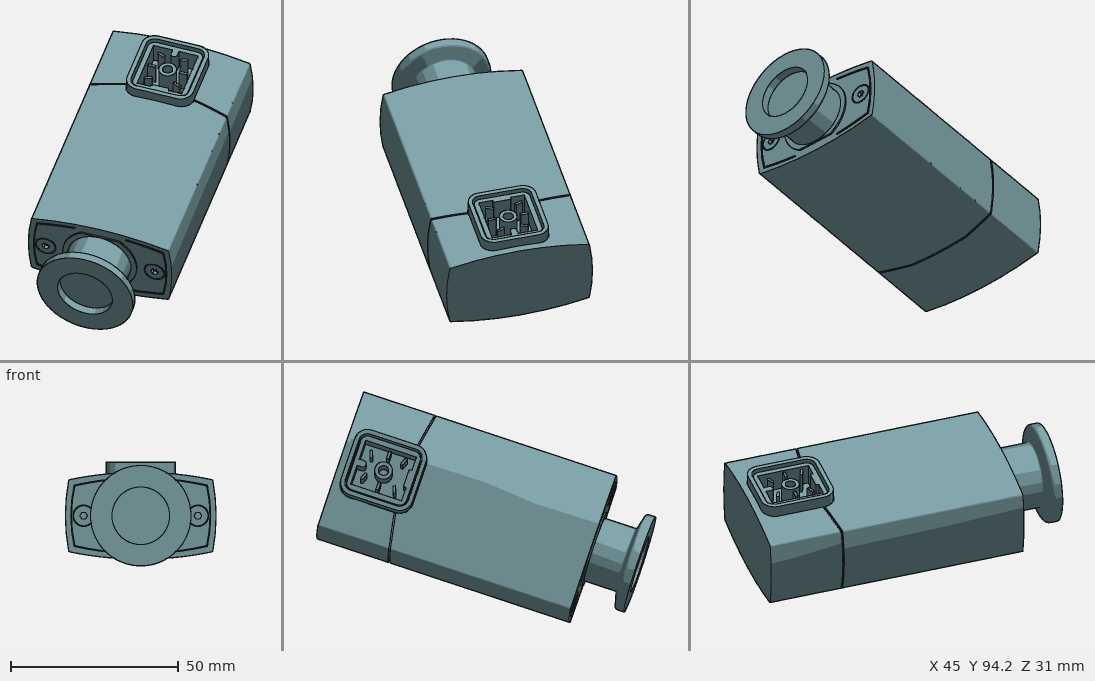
import cadquery as cq
import math

CUT_MARGIN = 1.0
SELECTION_MARGIN = 0.1

HOUSING_LENGTH = 79.5
HALF_WIDTH = 22.5
HALF_HEIGHT = 13.0
CORNER_X = 21.5
CORNER_Z = 10.75
CORNER_RADIUS = 0.7

SEAM_CENTRE_Y = HOUSING_LENGTH - 20.8
SEAM_FLAT_HALF_WIDTH = 10.0
SEAM_ANGLE = 10.0
SEAM_WIDTH = 0.5
SEAM_DEPTH = 0.5

PLATE_INSET = 1.6
PLATE_GROOVE_WIDTH = 0.25
PLATE_GROOVE_DEPTH = 0.3
PLATE_GROOVE_GAP_HALF_WIDTH = 8.0

SCREW_X = 17.05
SCREW_HEAD_DIAMETER = 6.0
SCREW_BORE_DIAMETER = 6.4
SCREW_BORE_DEPTH = 0.5
SOCKET_ACROSS_CORNERS = 2.3
SOCKET_DEPTH = 1.2

PORT_LENGTH = 14.71
COLLAR_DIAMETER = 23.2
COLLAR_HEIGHT = 20.0
COLLAR_THICKNESS = 0.5
TUBE_DIAMETER = 19.75
FLANGE_DIAMETER = 30.0
FLANGE_RIM_THICKNESS = 2.8
FLANGE_CONE_ANGLE = 15.0
FLANGE_EDGE_RADIUS = 1.0
NECK_RADIUS = 0.5
BORE_DIAMETER = 17.2
BORE_DEPTH = 2.6

CONNECTOR_Y = HOUSING_LENGTH - 13.5
CONNECTOR_TOP_Z = 16.0
CONNECTOR_WIDTH = 20.7
CONNECTOR_LENGTH = 22.4
CONNECTOR_CLEARANCE = 0.15
CLEARANCE_DEPTH = 1.5
CONNECTOR_CORNER_RADIUS = 4.0
RIM_WALL = 1.3
RIM_DEPTH = 1.0
LEDGE_Z = CONNECTOR_TOP_Z - RIM_DEPTH
INSERT_GAP_WIDTH = 0.5
INSERT_GAP_DEPTH = 3.0
CAVITY_WIDTH = 14.0
CAVITY_LENGTH = 16.0
CAVITY_DEPTH = 6.5
FLOOR_Z = LEDGE_Z - CAVITY_DEPTH

CONTACT_TOP_Z = 15.1
SLEEVE_DIAMETER = 5.3
SLEEVE_BORE_DIAMETER = 3.0
BLADE_LENGTH = 2.4
BLADE_THICKNESS = 0.8
BLADES = [
    (4.95, 0.0, 0.0, False),
    (3.55, 5.05, 22.5, True),
    (4.5, -4.95, -22.5, False),
]
KEY_WIDTH = 2.01
KEY_LENGTH = 2.5
RIB_BASE_WIDTH = 5.7
RIB_TOP_WIDTH = 5.1
RIB_HEIGHT = 0.85


def barrel_section(inset):
    """Housing outline in the XZ plane, moved inwards by `inset`."""
    side = HALF_WIDTH - inset
    top = HALF_HEIGHT - inset
    x = CORNER_X - inset
    z = CORNER_Z - inset
    return (
        cq.Workplane("XZ")
        .moveTo(-x, z)
        .threePointArc((0, top), (x, z))
        .threePointArc((side, 0), (x, -z))
        .threePointArc((0, -top), (-x, -z))
        .threePointArc((-side, 0), (-x, z))
        .close()
    )


def barrel(inset, start_y, end_y):
    """Solid with the housing section from `start_y` to `end_y`."""
    return barrel_section(inset).extrude(start_y - end_y).translate((0, start_y, 0))


def seam_groove():
    """Shallow groove along the chevron, following the outside of the housing."""
    reach = HALF_WIDTH + CUT_MARGIN
    reach_y = SEAM_CENTRE_Y - (reach - SEAM_FLAT_HALF_WIDTH) * math.tan(math.radians(SEAM_ANGLE))
    front = [
        (-reach, reach_y),
        (-SEAM_FLAT_HALF_WIDTH, SEAM_CENTRE_Y),
        (SEAM_FLAT_HALF_WIDTH, SEAM_CENTRE_Y),
        (reach, reach_y),
    ]
    back = [(x, y + SEAM_WIDTH) for x, y in reversed(front)]
    chevron = cq.Workplane("XY").polyline(front + back).close().extrude(HALF_HEIGHT + CUT_MARGIN, both=True)
    return chevron.cut(barrel(SEAM_DEPTH, 0, HOUSING_LENGTH))


def plate_groove():
    """Groove parallel to the housing outline, interrupted above and below the port."""
    groove = barrel(PLATE_INSET, 0, PLATE_GROOVE_DEPTH).cut(
        barrel(PLATE_INSET + PLATE_GROOVE_WIDTH, 0, PLATE_GROOVE_DEPTH)
    )
    gap = cq.Workplane("XY").box(2 * PLATE_GROOVE_GAP_HALF_WIDTH, 2 * PLATE_GROOVE_DEPTH, 2 * HALF_HEIGHT)
    return groove.cut(gap)


def front_sketch():
    """Workplane on the front face; negative extrusion runs into the housing."""
    return cq.Workplane("XZ")


def screw_recess(x):
    """Gap around one screw head, with the hexagon socket in the head."""
    gap = (
        front_sketch()
        .center(x, 0)
        .circle(SCREW_BORE_DIAMETER / 2)
        .circle(SCREW_HEAD_DIAMETER / 2)
        .extrude(-SCREW_BORE_DEPTH)
    )
    socket = front_sketch().center(x, 0).polygon(6, SOCKET_ACROSS_CORNERS).extrude(-SOCKET_DEPTH)
    return gap.union(socket)


def ring_at(y):
    """Selector for the circular edge of the port at height `y` along its axis."""
    near = (-FLANGE_DIAMETER, y - SELECTION_MARGIN, -FLANGE_DIAMETER)
    far = (FLANGE_DIAMETER, y + SELECTION_MARGIN, FLANGE_DIAMETER)
    return cq.selectors.BoxSelector(near, far)


def port():
    """Collar with flats, and the turned tube and flange with a blind bore."""
    collar = front_sketch().circle(COLLAR_DIAMETER / 2).extrude(COLLAR_THICKNESS)
    collar = collar.intersect(cq.Workplane("XY").box(COLLAR_DIAMETER, COLLAR_DIAMETER, COLLAR_HEIGHT))
    tube_radius = TUBE_DIAMETER / 2
    flange_radius = FLANGE_DIAMETER / 2
    rim_y = FLANGE_RIM_THICKNESS - PORT_LENGTH
    neck_y = rim_y + (flange_radius - tube_radius) * math.tan(math.radians(FLANGE_CONE_ANGLE))
    turned = (
        cq.Workplane("XY")
        .polyline(
            [
                (0, 0),
                (tube_radius, 0),
                (tube_radius, neck_y),
                (flange_radius, rim_y),
                (flange_radius, -PORT_LENGTH),
                (0, -PORT_LENGTH),
            ]
        )
        .close()
        .revolve(360, (0, 0, 0), (0, 1, 0))
    )
    turned = turned.edges(ring_at(rim_y)).fillet(FLANGE_EDGE_RADIUS)
    turned = turned.edges(ring_at(neck_y)).fillet(NECK_RADIUS)
    port_face = front_sketch().workplane(offset=PORT_LENGTH)
    bore = port_face.circle(BORE_DIAMETER / 2).extrude(-BORE_DEPTH)
    return collar.union(turned).cut(bore)


def connector_plane(z):
    """Horizontal workplane at height `z`, centred on the connector."""
    return cq.Workplane("XY", origin=(0, CONNECTOR_Y, z))


def rounded_block(clearance, start_z):
    """Connector outline, widened by `clearance`, from `start_z` up to the connector's top."""
    return (
        connector_plane(start_z)
        .rect(CONNECTOR_WIDTH + 2 * clearance, CONNECTOR_LENGTH + 2 * clearance)
        .extrude(CONNECTOR_TOP_Z - start_z)
        .edges("|Z")
        .fillet(CONNECTOR_CORNER_RADIUS + clearance)
    )


def rim_opening(inset):
    """Rounded rectangle moved inwards by `inset` from the inside of the rim."""
    wall = RIM_WALL + inset
    opening = cq.Sketch().rect(CONNECTOR_WIDTH - 2 * wall, CONNECTOR_LENGTH - 2 * wall)
    return opening.vertices().fillet(CONNECTOR_CORNER_RADIUS - wall)


def connector_hollow():
    """Recess inside the rim, the gap around the contact insert and the insert's cavity."""
    top = connector_plane(CONNECTOR_TOP_Z)
    recess = top.placeSketch(rim_opening(0)).extrude(-RIM_DEPTH)
    ledge = connector_plane(LEDGE_Z)
    gap = ledge.placeSketch(rim_opening(0)).extrude(-INSERT_GAP_DEPTH)
    insert = ledge.placeSketch(rim_opening(INSERT_GAP_WIDTH)).extrude(-INSERT_GAP_DEPTH)
    cavity = connector_plane(FLOOR_Z).rect(CAVITY_WIDTH, CAVITY_LENGTH).extrude(CAVITY_DEPTH)
    return recess.union(gap.cut(insert)).union(cavity)


def blade(x, y, angle, rounded):
    """One flat contact standing on the cavity floor."""
    plane = connector_plane(FLOOR_Z).center(x, y).transformed(rotate=(0, 0, angle))
    if rounded:
        outline = plane.slot2D(BLADE_LENGTH, BLADE_THICKNESS)
    else:
        outline = plane.rect(BLADE_LENGTH, BLADE_THICKNESS)
    return outline.extrude(CONTACT_TOP_Z - FLOOR_Z)


def connector_contents():
    """Central sleeve, contacts in mirrored pairs, round-nosed key and wide rib."""
    contents = (
        connector_plane(FLOOR_Z)
        .circle(SLEEVE_DIAMETER / 2)
        .circle(SLEEVE_BORE_DIAMETER / 2)
        .extrude(CONTACT_TOP_Z - FLOOR_Z)
    )
    for x, y, angle, rounded in BLADES:
        contents = contents.union(blade(x, y, angle, rounded))
        contents = contents.union(blade(-x, y, -angle, rounded))
    wall_y = CAVITY_LENGTH / 2
    nose_y = wall_y - KEY_LENGTH
    key_radius = KEY_WIDTH / 2
    key = (
        connector_plane(FLOOR_Z)
        .moveTo(-key_radius, wall_y)
        .lineTo(-key_radius, nose_y + key_radius)
        .threePointArc((0, nose_y), (key_radius, nose_y + key_radius))
        .lineTo(key_radius, wall_y)
        .close()
        .extrude(CAVITY_DEPTH)
    )
    rib = (
        connector_plane(FLOOR_Z)
        .polyline(
            [
                (-RIB_BASE_WIDTH / 2, -wall_y),
                (RIB_BASE_WIDTH / 2, -wall_y),
                (RIB_TOP_WIDTH / 2, RIB_HEIGHT - wall_y),
                (-RIB_TOP_WIDTH / 2, RIB_HEIGHT - wall_y),
            ]
        )
        .close()
        .extrude(CAVITY_DEPTH)
    )
    return contents.union(key).union(rib)


housing = barrel(0, 0, HOUSING_LENGTH).edges("|Y").fillet(CORNER_RADIUS)
housing = housing.cut(seam_groove()).cut(plate_groove())
for screw_x in (-SCREW_X, SCREW_X):
    housing = housing.cut(screw_recess(screw_x))

housing = housing.cut(rounded_block(CONNECTOR_CLEARANCE, HALF_HEIGHT - CLEARANCE_DEPTH))

connector = rounded_block(0, FLOOR_Z).cut(connector_hollow())
result = housing.cut(connector_hollow()).union(connector)
result = result.union(connector_contents()).union(port())